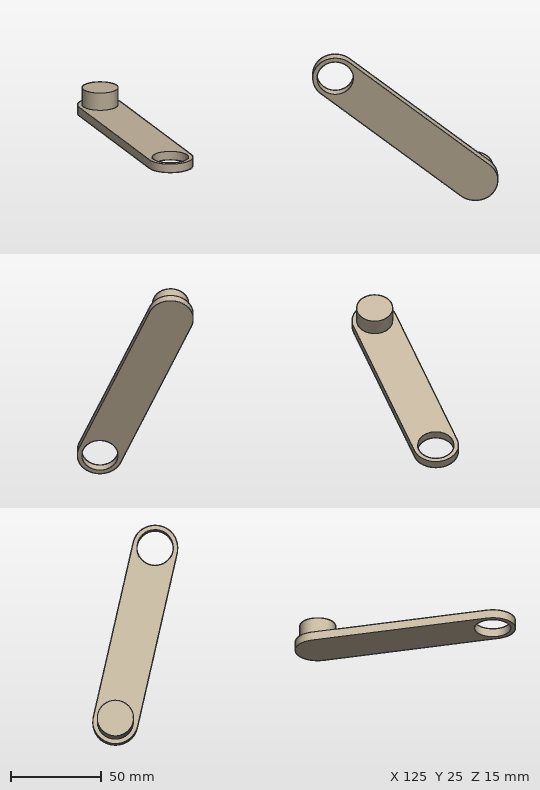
import cadquery as cq

link_length = 125.0
link_width = 25.0
link_thickness = 5.0
pin_diameter = 20.0
pin_height = 10.0
hole_diameter = pin_diameter

center_distance = link_length - link_width
pin_x = -center_distance / 2
hole_x = center_distance / 2

link = cq.Workplane("XY").slot2D(link_length, link_width).extrude(link_thickness)

hole = cq.Workplane("XY").center(hole_x, 0).circle(hole_diameter / 2).extrude(link_thickness)

pin = cq.Workplane("XY").center(pin_x, 0).circle(pin_diameter / 2).extrude(link_thickness + pin_height)

result = link.cut(hole).union(pin)